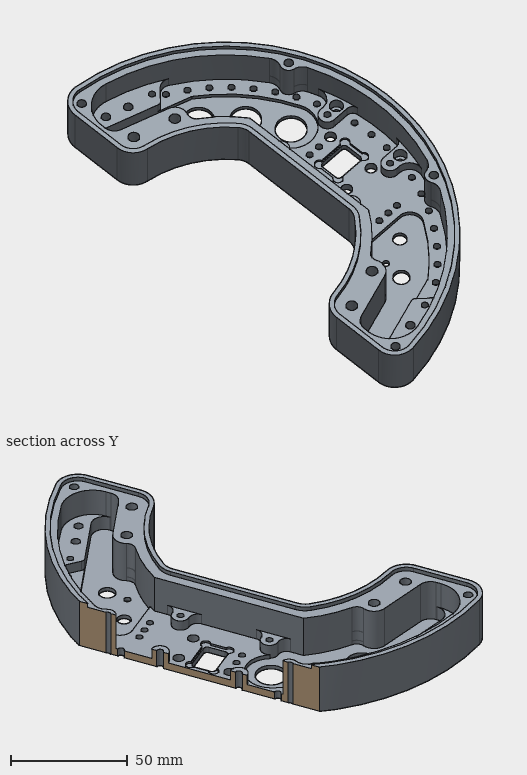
import cadquery as cq
import math

TOTAL_HEIGHT = 24.0
RECESS_DEPTH = 2.0
SHELF = TOTAL_HEIGHT - RECESS_DEPTH
FLOOR = 4.0
DEEP_FLOOR = 2.0
PAD_HEIGHT = 5.0
PAD_TOP = FLOOR + PAD_HEIGHT

ARC_CENTRE_Y = -0.4
OUTER_RADIUS = 100.0
OPENING_RADIUS = 55.5
OPENING_FLAT_Y = 45.0
CORNER_RADIUS = 10.0
FLAT_CORNER_RADIUS = 8.0
RIM_WIDTH = 2.2

POCKET_RADIUS = 94.7
POCKET_INNER_RADIUS = 62.5
POCKET_FLAT_Y = 51.3
POCKET_END_Y = 5.0
POCKET_CORNER_RADIUS = 13.7
LEG_LUG_BLEND = 4.0
RIM_LUG_BLEND = 6.0

DEEP_RADIUS = 87.0
RIGHT_DEEP_EDGE_X = 38.0
RIGHT_DEEP_CORNER_RADIUS = 6.0

TIP_SCREW = (-92.5, 7.4)
RIM_SCREW = (-42.8, 83.7)
LEG_SCREWS = [(-58.0, 29.0), (-64.2, 10.0)]
PAD_SCREWS = [(-83.1, 26.5), (-86.5, 16.1)]
PAD_PIN = (-80.3, 38.4)
BOSS_PIN = (-18.5, 82.1)
BUMP_PIN = (-20.9, 55.5)
RIM_LUG_RADIUS = 4.0
LEG_LUG = LEG_SCREWS[0]
LEG_LUG_RADIUS = 6.0

TILT = math.radians(18)
CHANNEL_RADIUS = 6.0
CHANNEL_END_ROUND = 5.8
CHANNEL_OVERRUN = 2 * CHANNEL_RADIUS
CHANNEL_END_Y = POCKET_END_Y + CHANNEL_RADIUS
CHANNEL_TO_LUG = CHANNEL_RADIUS + LEG_LUG_RADIUS
CHANNEL_END_X = LEG_LUG[0] - (CHANNEL_TO_LUG + (LEG_LUG[1] - CHANNEL_END_Y) * math.sin(TILT)) / math.cos(TILT)
CHANNEL_END = (CHANNEL_END_X, CHANNEL_END_Y)

PAD_EDGE_POINT = (-78.5, 41.5)
PAD_EDGE_SLOPE = 45
PAD_WALL_CORNER = (-82.7, 45.7)
PAD_CHANNEL_CORNER = (-75.0, 38.0)
PAD_WALL_BLEND = 5.0
PAD_CHANNEL_ROUND = 2.0
BOSS_RADIUS = 4.0
BOSS_OUTER_BLEND = 6.0
BOSS_INNER_BLEND = 3.4
BUMP_RADIUS = 4.0
BUMP_BLEND = 4.0
COUNTERBORE_DIAMETER = 6.0

PIN_DIAMETER = 3.0
PIN_RING_RADIUS = 90.5
PIN_STEP = 6
PIN_STEPS_EACH_SIDE = 10
BOSS_PIN_STEP = 2

SCREW_DIAMETER = 4.0
LARGE_SCREW_DIAMETER = 5.0
PORT_DIAMETER = 13.7
PORT_RING_RADIUS = 75.4
PORT_ANGLES = [21.8, 37.1, 52.4]
UPPER_RIGHT_PORT_DIAMETER = 6.2
LOWER_RIGHT_PORT_DIAMETER = 7.4
RIGHT_PIN = (50.0, 46.3)
RIGHT_PIN_ROW = [(33.5, 70.5), (33.5, 65.2), (33.5, 59.7)]

WINDOW_CENTRE = (0, 71.4)
WINDOW_SIZE = (11.1, 15.1)
WINDOW_CORNER_RADIUS = 1.8
LEDGE_SIZE = (12.3, 18.0)
LEDGE_DEPTH = 1.0
RELIEF_RADIUS = 2.2
RELIEF_SPACING = (11.0, 16.0)
WINDOW_SCREW_X = 12.0
WINDOW_SCREW_UPPER_Y = 77.2
WINDOW_SCREW_LOWER_Y = 62.0
WINDOW_PIN_YS = [70.0, 64.2]

FAR = 2 * OUTER_RADIUS


def ring_point(radius, degrees):
    """Point about the arc centre; the angle runs from +Y toward -X."""
    angle = math.radians(degrees)
    return (-radius * math.sin(angle), ARC_CENTRE_Y + radius * math.cos(angle))


def mirrored(point):
    return (-point[0], point[1])


def both_sides(points):
    return points + [mirrored(point) for point in points]


def disc(centre, radius, bottom, top):
    return cq.Workplane("XY", origin=(*centre, bottom)).circle(radius).extrude(top - bottom)


def ring_disc(radius, bottom, top):
    return disc((0, ARC_CENTRE_Y), radius, bottom, top)


def box(x_range, y_range, bottom, top):
    size = (x_range[1] - x_range[0], y_range[1] - y_range[0], top - bottom)
    return cq.Workplane("XY").box(*size, centered=False).translate((x_range[0], y_range[0], bottom))


def prism(points, bottom, top):
    return cq.Workplane("XY", origin=(0, 0, bottom)).polyline(points).close().extrude(top - bottom)


def round_upright_edge(body, near, radius):
    """Round the vertical edge of the body closest to a point in plan."""
    height = body.val().BoundingBox().center.z
    return body.edges("|Z").edges(cq.selectors.NearestToPointSelector((*near, height))).fillet(radius)


def with_mirror(body):
    return body.union(body.mirror("YZ"))


def half_ring(outer_radius, end_y, inner_radius, flat_y, bottom, top):
    """Ring above end_y whose opening is cut off straight at flat_y."""
    opening = ring_disc(inner_radius, bottom, top).intersect(box((-FAR, FAR), (-FAR, flat_y), bottom, top))
    ring = ring_disc(outer_radius, bottom, top).cut(opening)
    return ring.intersect(box((-FAR, FAR), (end_y, FAR), bottom, top))


def outer_plan(inset, bottom, top):
    """Outer plan, moved inward all round by an inset."""
    outer_radius = OUTER_RADIUS - inset
    opening_radius = OPENING_RADIUS + inset
    flat_y = OPENING_FLAT_Y + inset
    plan = half_ring(outer_radius, inset, opening_radius, flat_y, bottom, top)
    flat_end_x = math.sqrt(opening_radius**2 - (flat_y - ARC_CENTRE_Y) ** 2)
    for side in (-1, 1):
        plan = round_upright_edge(plan, (side * outer_radius, inset), CORNER_RADIUS - inset)
        plan = round_upright_edge(plan, (side * opening_radius, inset), CORNER_RADIUS - inset)
        plan = round_upright_edge(plan, (side * flat_end_x, flat_y), FLAT_CORNER_RADIUS + inset)
    return plan


def channel_point(along, across):
    """Point measured from the left channel's end; across is positive toward the opening."""
    x = CHANNEL_END[0] + along * math.sin(TILT) + across * math.cos(TILT)
    y = CHANNEL_END[1] + along * math.cos(TILT) - across * math.sin(TILT)
    return (x, y)


def square_ended_pocket(bottom, top):
    """Left half of the main pocket, running round the screw lugs, with its outer end corner left sharp."""
    pocket = half_ring(POCKET_RADIUS, POCKET_END_Y, POCKET_INNER_RADIUS, POCKET_FLAT_Y, bottom, top)
    pocket = pocket.intersect(box((-FAR, 0), (0, FAR), bottom, top))
    lug_tangent = (LEG_LUG[0] - LEG_LUG_RADIUS * math.cos(TILT), LEG_LUG[1] + LEG_LUG_RADIUS * math.sin(TILT))
    leg_block = [lug_tangent, channel_point(-FAR, CHANNEL_RADIUS), (0, -FAR), (0, 0), LEG_LUG]
    pocket = pocket.cut(prism(leg_block, bottom, top))
    pocket = pocket.cut(disc(LEG_LUG, LEG_LUG_RADIUS, bottom, top))
    pocket = pocket.cut(disc(RIM_SCREW, RIM_LUG_RADIUS, bottom, top))

    channel_corner = channel_point(-CHANNEL_RADIUS, CHANNEL_RADIUS)
    pocket = round_upright_edge(pocket, channel_corner, CHANNEL_END_ROUND)
    lug_meets_ring = (LEG_LUG[0] + LEG_LUG_RADIUS / 2, LEG_LUG[1] + LEG_LUG_RADIUS)
    pocket = round_upright_edge(pocket, lug_meets_ring, LEG_LUG_BLEND)
    rim_angle = math.degrees(math.atan2(-RIM_SCREW[0], RIM_SCREW[1] - ARC_CENTRE_Y))
    lug_half_angle = math.degrees(RIM_LUG_RADIUS / POCKET_RADIUS)
    for angle in (rim_angle - lug_half_angle, rim_angle + lug_half_angle):
        pocket = round_upright_edge(pocket, ring_point(POCKET_RADIUS, angle), RIM_LUG_BLEND)
    return pocket


def left_pocket(bottom, top):
    """Left half of the main pocket with its outer end corner rounded."""
    pocket = square_ended_pocket(bottom, top)
    return round_upright_edge(pocket, (-POCKET_RADIUS, POCKET_END_Y), POCKET_CORNER_RADIUS)


def bump(bottom, top):
    """Left bump standing against the pocket's flat wall."""
    x, y = BUMP_PIN
    stem = box((x - BUMP_RADIUS, x + BUMP_RADIUS), (POCKET_FLAT_Y, y), bottom, top)
    return stem.union(disc(BUMP_PIN, BUMP_RADIUS, bottom, top))


def boss(bottom, top):
    """Left boss standing against the pocket's curved wall."""
    x, y = BOSS_PIN
    stem = box((x - BOSS_RADIUS, x + BOSS_RADIUS), (y, OUTER_RADIUS), bottom, top)
    return stem.union(disc(BOSS_PIN, BOSS_RADIUS, bottom, top))


def left_deep_plan(bottom, top):
    """Left deep pocket: the ports' bay and the channel, before trimming to the main pocket."""
    bay_end = ring_point(PORT_RING_RADIUS, PORT_ANGLES[0])
    bay = [
        channel_point(-CHANNEL_OVERRUN, -CHANNEL_RADIUS),
        channel_point(FAR, -CHANNEL_RADIUS),
        ring_point(FAR, PORT_ANGLES[0]),
        bay_end,
        BUMP_PIN,
        (BUMP_PIN[0], 0),
        channel_point(-CHANNEL_OVERRUN, CHANNEL_OVERRUN),
    ]
    plan = prism(bay, bottom, top).intersect(ring_disc(DEEP_RADIUS, bottom, top))
    return plan.union(disc(bay_end, DEEP_RADIUS - PORT_RING_RADIUS, bottom, top))


def right_deep_plan(bottom, top):
    """Right deep pocket: like the left one but ending at a straight edge."""
    bay = [
        channel_point(-CHANNEL_OVERRUN, -CHANNEL_RADIUS),
        channel_point(FAR, -CHANNEL_RADIUS),
        (-RIGHT_DEEP_EDGE_X, FAR),
        (-RIGHT_DEEP_EDGE_X, 0),
        channel_point(-CHANNEL_OVERRUN, CHANNEL_OVERRUN),
    ]
    plan = prism(bay, bottom, top).intersect(ring_disc(DEEP_RADIUS, bottom, top))
    plan = round_upright_edge(plan, (-RIGHT_DEEP_EDGE_X, DEEP_RADIUS), RIGHT_DEEP_CORNER_RADIUS)
    return plan.mirror("YZ")


def pad_blank(bottom, top):
    """Left leg below the pad's sloping edge, outside the channel."""
    x, y = PAD_EDGE_POINT
    slope = math.tan(math.radians(PAD_EDGE_SLOPE))
    upper_end = (x - FAR, y + FAR * slope)
    lower_end = (x + FAR, y - FAR * slope)
    below_edge = prism([upper_end, lower_end, (upper_end[0], lower_end[1])], bottom, top)
    return below_edge.cut(left_deep_plan(bottom, top))


def left_lower_pocket():
    """Left half of the pocket between the main floor and the pad tops."""
    pocket = square_ended_pocket(FLOOR, PAD_TOP)
    pocket = pocket.cut(pad_blank(FLOOR, PAD_TOP))
    pocket = pocket.cut(boss(FLOOR, PAD_TOP)).cut(bump(FLOOR, PAD_TOP))

    channel_corner = channel_point(-CHANNEL_RADIUS, -CHANNEL_RADIUS)
    pocket = round_upright_edge(pocket, channel_corner, CHANNEL_END_ROUND)
    pocket = round_upright_edge(pocket, PAD_WALL_CORNER, PAD_WALL_BLEND)
    pocket = round_upright_edge(pocket, PAD_CHANNEL_CORNER, PAD_CHANNEL_ROUND)
    for side, blend in ((-1, BOSS_OUTER_BLEND), (1, BOSS_INNER_BLEND)):
        x = BOSS_PIN[0] + side * BOSS_RADIUS
        wall_y = ARC_CENTRE_Y + math.sqrt(POCKET_RADIUS**2 - x**2)
        pocket = round_upright_edge(pocket, (x, wall_y), blend)
    for side in (-1, 1):
        foot = (BUMP_PIN[0] + side * BUMP_RADIUS, POCKET_FLAT_Y)
        pocket = round_upright_edge(pocket, foot, BUMP_BLEND)
    return pocket


def drill(points, diameter, bottom=0.0, top=TOTAL_HEIGHT):
    """Round cutters at the given places, through the whole height unless limited."""
    plane = cq.Workplane("XY", origin=(0, 0, bottom))
    return plane.pushPoints(points).circle(diameter / 2).extrude(top - bottom)


def window():
    """Rounded window with a ledge around it, relieved at the ledge's corners."""
    ledge_floor = FLOOR - LEDGE_DEPTH
    centred = cq.Workplane("XY", origin=(*WINDOW_CENTRE, 0))
    opening = centred.rect(*WINDOW_SIZE).extrude(PAD_TOP).edges("|Z").fillet(WINDOW_CORNER_RADIUS)
    raised = centred.workplane(offset=ledge_floor)
    ledge = raised.rect(*LEDGE_SIZE).extrude(PAD_HEIGHT)
    relief_centres = raised.rect(*RELIEF_SPACING, forConstruction=True).vertices()
    reliefs = relief_centres.circle(RELIEF_RADIUS).extrude(PAD_HEIGHT)
    return opening.union(ledge).union(reliefs)


result = outer_plan(0, 0, TOTAL_HEIGHT)
result = result.cut(outer_plan(RIM_WIDTH, SHELF, TOTAL_HEIGHT))
result = result.cut(with_mirror(left_pocket(PAD_TOP, SHELF)))
lower_pocket = with_mirror(left_lower_pocket())
result = result.cut(lower_pocket)

deep_depth = FLOOR - DEEP_FLOOR
deep_pockets = left_deep_plan(DEEP_FLOOR, FLOOR).union(right_deep_plan(DEEP_FLOOR, FLOOR))
result = result.cut(deep_pockets.intersect(lower_pocket.translate((0, 0, -deep_depth))))

result = result.cut(window())
window_screws = both_sides([(-WINDOW_SCREW_X, WINDOW_SCREW_UPPER_Y)])
window_screws.append((WINDOW_SCREW_X, WINDOW_SCREW_LOWER_Y))
result = result.cut(drill(window_screws, LARGE_SCREW_DIAMETER))

pin_ring = [
    ring_point(PIN_RING_RADIUS, step * PIN_STEP)
    for step in range(-PIN_STEPS_EACH_SIDE, PIN_STEPS_EACH_SIDE + 1)
]
window_pins = [(-WINDOW_SCREW_X, y) for y in WINDOW_PIN_YS]
loose_pins = both_sides([PAD_PIN, BOSS_PIN, BUMP_PIN]) + window_pins + RIGHT_PIN_ROW + [RIGHT_PIN]
result = result.cut(drill(pin_ring, PIN_DIAMETER)).cut(drill(loose_pins, PIN_DIAMETER))
boss_ring_pins = both_sides([ring_point(PIN_RING_RADIUS, BOSS_PIN_STEP * PIN_STEP)])
result = result.cut(drill(boss_ring_pins, COUNTERBORE_DIAMETER, FLOOR, PAD_TOP))

result = result.cut(drill(both_sides([TIP_SCREW, RIM_SCREW] + PAD_SCREWS), SCREW_DIAMETER))
result = result.cut(drill(both_sides(LEG_SCREWS), LARGE_SCREW_DIAMETER))

left_ports = [ring_point(PORT_RING_RADIUS, angle) for angle in PORT_ANGLES]
result = result.cut(drill(left_ports, PORT_DIAMETER))
result = result.cut(drill([mirrored(left_ports[1])], UPPER_RIGHT_PORT_DIAMETER))
result = result.cut(drill([mirrored(left_ports[2])], LOWER_RIGHT_PORT_DIAMETER))